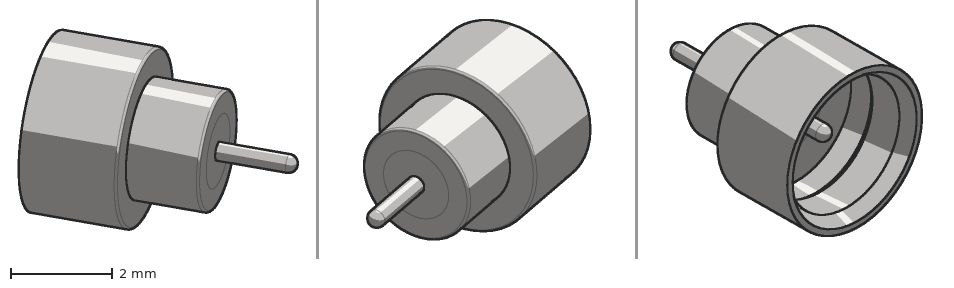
import cadquery as cq

total_length = 5.21

shell_diameter = 3.685
shell_length = 2.04
neck_diameter = 2.49
neck_end = 3.56
edge_radius = 0.05

mouth_diameter = 3.385
bore_diameter = 3.025
mouth_depth = 0.305
relief_diameter = 3.175
relief_start = 1.085
relief_lead_in = 0.115
socket_depth = 1.77

insulator_diameter = 1.525
pin_diameter = 0.38
pin_start = 0.735


def cylinder(diameter, start, end):
    """Solid cylinder along X between two stations."""
    return cq.Workplane("YZ", origin=(start, 0, 0)).circle(diameter / 2).extrude(end - start)


def make_body():
    """Shell and neck, each rounded at its +X rim."""
    shell = cylinder(shell_diameter, 0, shell_length).faces(">X").edges().fillet(edge_radius)
    neck = cylinder(neck_diameter, socket_depth, neck_end).faces(">X").edges().fillet(edge_radius)
    return shell.union(neck)


def make_socket():
    """Tapered mouth, bore, and a wider relief entered by a short cone."""
    mouth_radius = mouth_diameter / 2
    bore_radius = bore_diameter / 2
    relief_radius = relief_diameter / 2
    relief_full = relief_start + relief_lead_in
    profile = [
        (0, 0),
        (0, mouth_radius),
        (mouth_depth, bore_radius),
        (relief_start, bore_radius),
        (relief_full, relief_radius),
        (socket_depth, relief_radius),
        (socket_depth, 0),
    ]
    return cq.Workplane("XY").polyline(profile).close().revolve(360, (0, 0), (1, 0))


def make_pin():
    """Centre pin with a hemispherical tip at each end."""
    tip_radius = pin_diameter / 2
    pin_end = total_length
    return (
        cq.Workplane("XY")
        .moveTo(pin_start, 0)
        .radiusArc((pin_start + tip_radius, tip_radius), tip_radius)
        .lineTo(pin_end - tip_radius, tip_radius)
        .radiusArc((pin_end, 0), tip_radius)
        .close()
        .revolve(360, (0, 0), (1, 0))
    )


insulator = cylinder(insulator_diameter, socket_depth, neck_end)
housing = make_body().cut(make_socket()).cut(insulator)

result = housing.union(insulator, clean=False).union(make_pin(), clean=False)